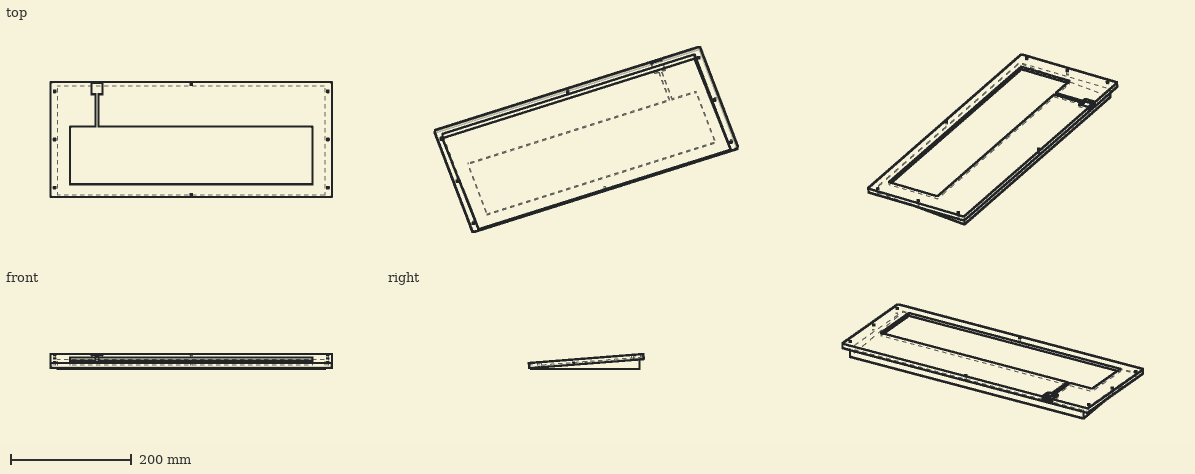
import cadquery as cq
import math

length = 467.0
overall_depth = 191.0
overall_height = 25.0
plate_thickness = 9.0
tilt_deg = 4.5
corner_radius = 2.5
bottom_fillet = 2.0

tilt = math.radians(tilt_deg)
plate_front = plate_thickness * math.sin(tilt)
back_round_reach = bottom_fillet * (1 - math.sin(tilt))
plate_width = bottom_fillet + (overall_depth - plate_front - back_round_reach) / math.cos(tilt)
plate_rise = plate_width * math.sin(tilt)
front_lift = overall_height - plate_rise - plate_thickness * math.cos(tilt)

stand_inset_side = 11.5
stand_inset_front = 3.7
stand_inset_back = 7.0
stand_embed = 1.5

recess_depth = 5.0
tray_inset_side = 32.5
tray_front = 21.0
tray_width = 96.0
tray_corner_radius = 1.5
channel_x = 77.0
channel_width = 4.5
port_size = 18.5
port_back_wall = 1.5

window_width = 14.0
window_height = 3.7

hole_diameter = 2.5
hole_inset_side = 7.0
hole_inset_corner = 15.5
hole_inset_middle = 3.7


def recess(x_start, y_start, x_size, y_size):
    """Block that sinks a rectangle into the plate's top face."""
    return cq.Workplane("XY").box(x_size, y_size, recess_depth, centered=False).translate(
        (x_start, y_start, plate_thickness - recess_depth)
    )


def make_plate():
    plate = cq.Workplane("XY").box(length, plate_width, plate_thickness, centered=False)
    plate = plate.edges("|Z").fillet(corner_radius)
    return plate.faces("<Z").edges().fillet(bottom_fillet)


def make_recesses():
    tray = recess(tray_inset_side, tray_front, length - 2 * tray_inset_side, tray_width)
    tray = tray.edges("|Z and >Y").fillet(tray_corner_radius)
    tray_back = tray_front + tray_width
    port_back = plate_width - port_back_wall
    port_front = port_back - port_size
    port = recess(channel_x - port_size / 2, port_front, port_size, port_size)
    channel_start = tray_back - channel_width
    channel_end = port_front + channel_width
    channel = recess(
        channel_x - channel_width / 2, channel_start, channel_width, channel_end - channel_start
    )
    window = cq.Workplane("XY").box(
        window_width, 2 * port_back_wall, window_height, centered=(True, True, False)
    )
    window = window.translate((channel_x, plate_width - port_back_wall, plate_thickness - recess_depth))
    return tray.union(port).union(channel).union(window)


def make_screw_holes():
    points = [(length / 2, hole_inset_middle), (length / 2, plate_width - hole_inset_middle)]
    for x in (hole_inset_side, length - hole_inset_side):
        for y in (hole_inset_corner, plate_width / 2, plate_width - hole_inset_corner):
            points.append((x, y))
    return cq.Workplane("XY").pushPoints(points).circle(hole_diameter / 2).extrude(plate_thickness)


def make_stand():
    def height_in_plate(y):
        """Height just inside the plate's underside at distance y from the front."""
        return front_lift + stand_embed + (y - plate_front) * math.tan(tilt)

    front = stand_inset_front
    back = overall_depth - stand_inset_back
    profile = [(front, 0), (back, 0), (back, height_in_plate(back)), (front, height_in_plate(front))]
    return (
        cq.Workplane("YZ", origin=(stand_inset_side, 0, 0))
        .polyline(profile)
        .close()
        .extrude(length - 2 * stand_inset_side)
    )


plate = make_plate().cut(make_recesses()).cut(make_screw_holes())
plate = plate.rotate((0, 0, 0), (1, 0, 0), tilt_deg)
plate = plate.translate((0, plate_front, front_lift))

result = plate.union(make_stand())